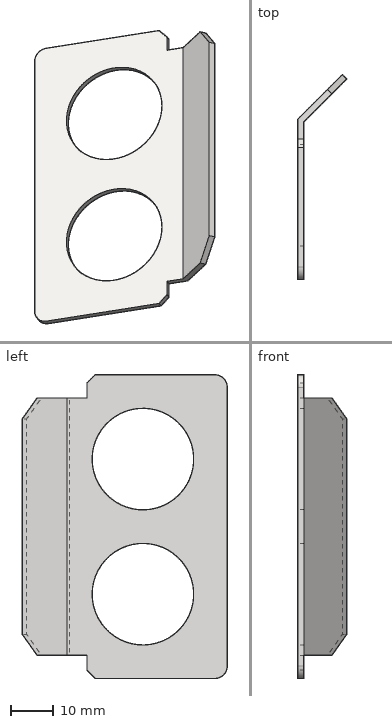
import cadquery as cq
import math

thickness = 1.5
bend_angle = 45.0

plate_height = 72.0
plate_depth = 33.3
front_corner_radius = 3.0
rear_corner_chamfer = 2.0

hole_diameter = 24.0
hole_spacing = 32.0
hole_center_y = 20.0

flange_height = 61.0
bend_y = 38.0
leg_length = 15.0
leg_corner_chamfer = 5.0


def make_plate():
    """Flat plate with rounded front corners and chamfered rear corners."""
    plate = cq.Workplane("XY").box(thickness, plate_depth, plate_height, centered=(False, False, True))
    plate = plate.edges("|X and <Y").fillet(front_corner_radius)
    return plate.edges("|X and >Y").chamfer(rear_corner_chamfer)


def make_flange():
    """Neck and angled leg, extruded along Z from their bent profile."""
    angle = math.radians(bend_angle)
    along_x, along_y = math.sin(angle), math.cos(angle)
    tip_x = leg_length * along_x
    tip_y = bend_y + leg_length * along_y
    inner_bend_y = bend_y - thickness * math.tan(angle / 2)
    neck_start_y = hole_center_y + hole_diameter / 2

    profile = [
        (0, neck_start_y),
        (0, bend_y),
        (tip_x, tip_y),
        (tip_x + thickness * along_y, tip_y - thickness * along_x),
        (thickness, inner_bend_y),
        (thickness, neck_start_y),
    ]
    flange = cq.Workplane("XY").polyline(profile).close().extrude(flange_height / 2, both=True)
    tip_direction = cq.Vector(along_x, along_y, 0)
    tip_face = cq.selectors.DirectionMinMaxSelector(tip_direction, True)
    return flange.faces(tip_face).edges("not |Z").chamfer(leg_corner_chamfer)


def make_hole_cutters():
    """Cylinders along X for the pair of round openings."""
    half_spacing = hole_spacing / 2
    centers = [(hole_center_y, -half_spacing), (hole_center_y, half_spacing)]
    return cq.Workplane("YZ").pushPoints(centers).circle(hole_diameter / 2).extrude(thickness)


result = make_plate().union(make_flange()).cut(make_hole_cutters()).clean()